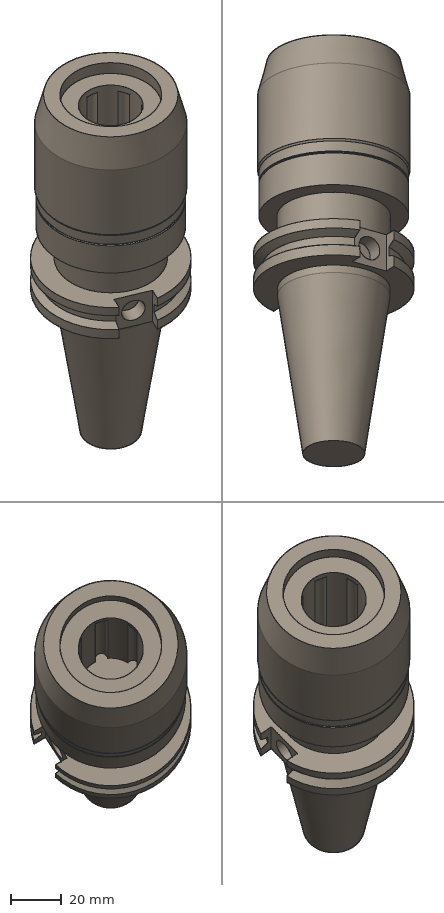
import cadquery as cq

total_height = 169.8
gauge_height = 68.5
flange_bottom = 71.7
flange_top = 87.5
sleeve_bottom = 103.3
body_bottom = 123.1
nose_start = 156.0

taper_end_radius = 12.2
gauge_radius = 22.3
neck_radius = 22.5
flange_diameter = 63.4
flange_radius = flange_diameter / 2
sleeve_radius = 29.5
body_radius = 30.0
nose_radius = 26.5

gripper_floor_radius = 28.2
gripper_bottom = 76.3
gripper_floor_bottom = 77.8
gripper_floor_top = 81.4
gripper_top = 83.4

ring_width = 0.8
ring_depth = 0.8
ring_bottom = 117.0
cone_height = 0.8

slot_width = 16.1
slot_floor = 25.3
slot_hole_radius = 5.0
slot_hole_depth = 6.8

recess_radius = 20.0
recess_depth = 5.5
bore_radius = 12.7
bore_depth = 51.0

flute_count = 6
flute_radius = 2.5
flute_start_depth = 2.9
flute_first_angle = 15.0


def make_turned_body():
    profile = [
        (0, 0),
        (taper_end_radius, 0),
        (gauge_radius, gauge_height),
        (gauge_radius, flange_bottom),
        (flange_radius, flange_bottom),
        (flange_radius, gripper_bottom),
        (gripper_floor_radius, gripper_floor_bottom),
        (gripper_floor_radius, gripper_floor_top),
        (flange_radius, gripper_top),
        (flange_radius, flange_top),
        (neck_radius, flange_top),
        (neck_radius, sleeve_bottom),
        (sleeve_radius, sleeve_bottom),
        (sleeve_radius, body_bottom - cone_height),
        (body_radius, body_bottom),
        (body_radius, nose_start),
        (nose_radius, total_height),
        (0, total_height),
    ]
    return cq.Workplane("XZ").polyline(profile).close().revolve(360, (0, 0), (0, 1))


def make_ring_groove():
    plane = cq.Workplane("XY").workplane(offset=ring_bottom)
    return plane.circle(flange_radius).circle(sleeve_radius - ring_depth).extrude(ring_width)


def make_drive_slot(side):
    """Slot and blind hole on the +X (side = 1) or -X (side = -1) edge of the flange."""
    flange_height = flange_top - flange_bottom
    middle = (flange_top + flange_bottom) / 2
    slot_depth = flange_radius - slot_floor
    slot = cq.Workplane("XY").box(slot_depth, slot_width, flange_height)
    slot = slot.translate((side * (slot_floor + slot_depth / 2), 0, middle))
    hole = cq.Workplane("YZ").circle(slot_hole_radius).extrude(-side * slot_hole_depth)
    return slot.union(hole.translate((side * slot_floor, 0, middle)))


def make_socket():
    recess_floor = total_height - recess_depth
    recess = cq.Workplane("XY").workplane(offset=recess_floor).circle(recess_radius).extrude(recess_depth)
    bore = cq.Workplane("XY").workplane(offset=recess_floor).circle(bore_radius).extrude(-bore_depth)
    flutes = (
        cq.Workplane("XY")
        .workplane(offset=recess_floor - flute_start_depth)
        .polarArray(bore_radius, flute_first_angle, 360, flute_count)
        .circle(flute_radius)
        .extrude(flute_start_depth - bore_depth)
    )
    return recess.union(bore).union(flutes)


result = make_turned_body()
result = result.cut(make_ring_groove())
for slot_side in (-1, 1):
    result = result.cut(make_drive_slot(slot_side))
result = result.cut(make_socket())